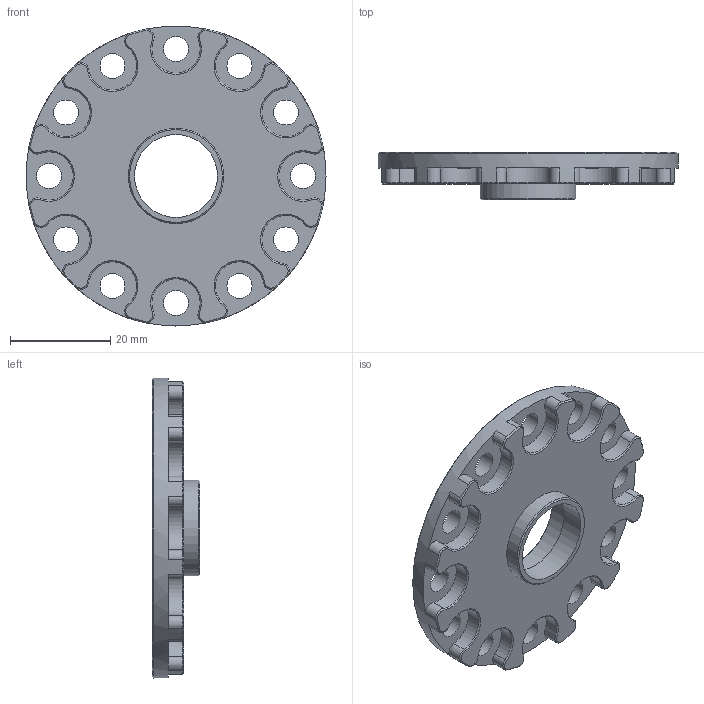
import cadquery as cq
import math

INCH = 25.4

disc_radius = 30.0
layer_thickness = INCH / 8
edge_chamfer = INCH / 100

hub_radius = 3 / 8 * INCH
bore_radius = 8.3
counterbore_radius = hub_radius
counterbore_depth = 3 / 16 * INCH

hole_count = 12
bolt_circle_radius = INCH
hole_radius = 2.5
pocket_radius = 0.19 * INCH
mouth_round_radius = INCH / 16

floor_height = layer_thickness
face_height = 2 * layer_thickness
hub_height = 3 * layer_thickness

mouth_overshoot = 2.0


def front_plane(height):
    """Sketch plane facing -Y at the given height above the back (local x = X, local y = Z)."""
    return cq.Workplane("XZ").workplane(offset=height)


def point_towards(start, end, distance):
    """Point at a distance from start along the line to end."""
    length = math.dist(start, end)
    return tuple(s + (e - s) * distance / length for s, e in zip(start, end))


def mirrored(point):
    return (-point[0], point[1])


def pocket_cutter():
    """Pocket at the top hole: a circular wall flowing through mouth rounds into the rim."""
    pocket_center = (0, bolt_circle_radius)

    to_axis = disc_radius - mouth_round_radius
    to_pocket = pocket_radius + mouth_round_radius
    round_z = (to_axis**2 - to_pocket**2 + bolt_circle_radius**2) / (2 * bolt_circle_radius)
    round_center = (math.sqrt(to_axis**2 - round_z**2), round_z)

    wall_end = point_towards(pocket_center, round_center, pocket_radius)
    rim_end = point_towards((0, 0), round_center, disc_radius)
    round_middle = (round_center[0] - mouth_round_radius, round_center[1])
    outer_z = disc_radius + mouth_overshoot

    return (
        front_plane(floor_height)
        .moveTo(*rim_end)
        .threePointArc(round_middle, wall_end)
        .threePointArc((0, bolt_circle_radius - pocket_radius), mirrored(wall_end))
        .threePointArc(mirrored(round_middle), mirrored(rim_end))
        .lineTo(-rim_end[0], outer_z)
        .lineTo(rim_end[0], outer_z)
        .close()
        .extrude(layer_thickness)
    )


def make_disc():
    """Full-thickness disc with a chamfered back edge."""
    disc = front_plane(0).circle(disc_radius).extrude(face_height)
    return disc.faces(">Y").chamfer(edge_chamfer)


def cut_pockets(body):
    cutter = pocket_cutter()
    for index in range(hole_count):
        angle = index * 360 / hole_count
        body = body.cut(cutter.rotate((0, 0, 0), (0, 1, 0), angle))
    return body


def chamfer_raised_face(body):
    """Bevel the whole outline of the raised face."""
    return body.faces("<Y").edges().chamfer(edge_chamfer)


def add_hub(body):
    hub = front_plane(face_height).circle(hub_radius).extrude(layer_thickness)
    return body.union(hub.faces("<Y").chamfer(edge_chamfer))


def cut_bore(body):
    """Through bore with a counterbore in the back whose mouth is beveled."""
    bore = front_plane(0).circle(bore_radius).extrude(hub_height)
    counterbore = front_plane(0).circle(counterbore_radius).extrude(counterbore_depth)
    mouth_bevel = (
        front_plane(0)
        .circle(counterbore_radius + edge_chamfer)
        .workplane(offset=edge_chamfer)
        .circle(counterbore_radius)
        .loft()
    )
    return body.cut(bore).cut(counterbore).cut(mouth_bevel)


def cut_bolt_holes(body):
    bolt_holes = (
        front_plane(0)
        .polarArray(bolt_circle_radius, 0, 360, hole_count)
        .circle(hole_radius)
        .extrude(floor_height)
    )
    return body.cut(bolt_holes)


body = make_disc()
body = cut_pockets(body)
body = chamfer_raised_face(body)
body = add_hub(body)
body = cut_bore(body)
result = cut_bolt_holes(body)